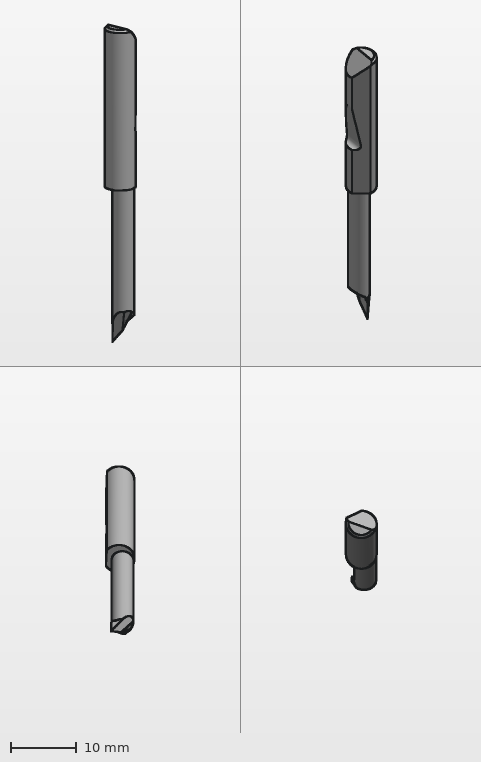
import cadquery as cq
import math

total_length = 50.45
shank_radius = 2.35
shank_bottom = 25.0
end_chamfer = 0.4

flat_distance = 1.9
flat_direction = 143.5
bevel_start_y = -0.55

notch_top = 42.0
notch_bottom = 33.5
notch_floor_y = 1.05
notch_corner_radius = 0.75

neck_radius = 1.7
neck_back_depth = 1.6
neck_center_x = shank_radius - neck_radius

tooth_height = 3.5
point_x = -1.6
tooth_top_x = -1.5
side_relief_run = 1.2
side_relief_depth = 1.4

rear_bevel_start = 3.9
rear_bevel_rise = 1.3
relief_slope_x = 1.05
relief_slope_y = 1.6
heel_x = 0.45
heel_angle = 60.0
heel_slope_y = 0.8

reach = 5.05


def make_shank():
    shank = (
        cq.Workplane("XY", origin=(0, 0, shank_bottom))
        .circle(shank_radius)
        .extrude(total_length - shank_bottom)
        .faces(">Z")
        .chamfer(end_chamfer)
    )
    flat_cutter = (
        cq.Workplane("XY")
        .box(reach, 2 * reach, total_length, centered=(False, True, False))
        .translate((flat_distance, 0, 0))
        .rotate((0, 0, 0), (0, 0, 1), flat_direction)
    )
    bevel_cutter = (
        cq.Workplane("YZ")
        .polyline([
            (bevel_start_y, total_length),
            (bevel_start_y + reach, total_length),
            (bevel_start_y + reach, total_length - reach),
        ])
        .close()
        .extrude(reach, both=True)
    )
    notch_slope = (notch_top - notch_bottom) / (shank_radius - notch_floor_y)
    notch_cutter = (
        cq.Workplane("YZ")
        .polyline([
            (notch_floor_y, notch_bottom),
            (reach, notch_bottom),
            (reach, notch_bottom + notch_slope * (reach - notch_floor_y)),
        ])
        .close()
        .extrude(reach, both=True)
        .edges("|X and <Y")
        .fillet(notch_corner_radius)
    )
    return shank.cut(flat_cutter).cut(bevel_cutter).cut(notch_cutter)


def make_neck():
    neck = (
        cq.Workplane("XY", origin=(neck_center_x, 0, tooth_height))
        .moveTo(-neck_radius, 0)
        .threePointArc((0, -neck_radius), (neck_radius, 0))
        .threePointArc((0, neck_back_depth), (-neck_radius, 0))
        .close()
        .extrude(shank_bottom - tooth_height)
    )
    rear_slope = rear_bevel_rise / neck_back_depth
    rear_cutter = (
        cq.Workplane("YZ")
        .polyline([
            (0, 0),
            (0, rear_bevel_start),
            (reach, rear_bevel_start + rear_slope * reach),
            (reach, 0),
        ])
        .close()
        .extrude(reach, both=True)
    )
    return neck.cut(rear_cutter)


def tooth_outline(edge_x):
    return [
        (edge_x, 0),
        (edge_x + side_relief_run, -side_relief_depth),
        (neck_center_x + neck_radius, -side_relief_depth),
        (neck_center_x + neck_radius, 0),
    ]


def make_tooth():
    return (
        cq.Workplane("XY")
        .polyline(tooth_outline(point_x))
        .close()
        .workplane(offset=tooth_height)
        .polyline(tooth_outline(tooth_top_x))
        .close()
        .loft(ruled=True)
    )


def half_space_below(point, normal):
    """Large block on the side of a plane away from its normal."""
    plane = cq.Plane(origin=point, normal=normal)
    return cq.Workplane(plane).rect(4 * reach, 4 * reach).extrude(-2 * reach)


def cut_tip_clearances(body):
    underside = half_space_below((point_x, 0, 0), (-relief_slope_x, relief_slope_y, 1))
    front_half = cq.Workplane("XY").box(
        4 * reach, 2 * reach, 8 * reach, centered=(True, False, True)
    ).translate((0, -2 * reach, 0))
    heel_z = relief_slope_x * (heel_x - point_x)
    heel_slope = math.tan(math.radians(heel_angle))
    heel = half_space_below((heel_x, 0, heel_z), (-heel_slope, heel_slope_y, 1))
    rear_heel = half_space_below((heel_x, 0, heel_z), (-heel_slope, 0, 1))
    relief = underside.union(heel).intersect(front_half)
    return body.cut(relief).cut(rear_heel)


tip = cut_tip_clearances(make_neck().union(make_tooth()))
result = make_shank().union(tip)